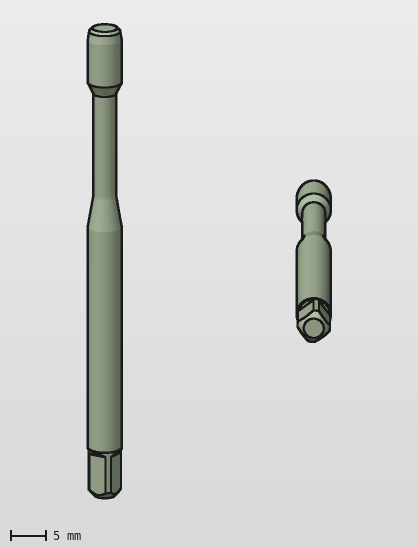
import cadquery as cq

length = 70.2
shank_diameter = 4.9
neck_diameter = 3.3

drive_diameter = 4.7
across_flats = 3.85
flat_top = 6.45
shank_bottom = 7.15
drive_tip_diameter = 2.9
drive_chamfer_height = 1.05

shank_top = 40.3
neck_bottom = 45.0
neck_blend_radius = 2.5

neck_top = 60.4
collar_diameter = 3.65
collar_height = 60.8
head_bottom = 62.05
lead_bottom = 68.4
tip_bottom = 69.7
lead_diameter = 4.5
tip_diameter = 3.6


def turned_body():
    """Revolve the stepped profile about Z, from the drive up to the tip."""
    steps = [
        (drive_tip_diameter, 0),
        (drive_diameter, drive_chamfer_height),
        (drive_diameter, shank_bottom),
        (shank_diameter, shank_bottom),
        (shank_diameter, shank_top),
        (neck_diameter, neck_bottom),
        (neck_diameter, neck_top),
        (collar_diameter, collar_height),
        (shank_diameter, head_bottom),
        (shank_diameter, lead_bottom),
        (lead_diameter, tip_bottom),
        (tip_diameter, length),
    ]
    outline = [(diameter / 2, height) for diameter, height in steps]
    profile = cq.Workplane("XZ").polyline([(0, 0)] + outline + [(0, length)]).close()
    body = profile.revolve(360, (0, 0), (0, 1))
    margin = 0.1
    neck_corner = cq.selectors.BoxSelector(
        (-shank_diameter, -shank_diameter, neck_bottom - margin),
        (shank_diameter, shank_diameter, neck_bottom + margin),
    )
    return body.edges(neck_corner).edges("%CIRCLE").fillet(neck_blend_radius)


def flat_cutter():
    """Cutter for the +X flat, with a 45 degree run-out at its upper end."""
    flat_x = across_flats / 2
    run_out = shank_diameter - flat_x
    return (
        cq.Workplane("XZ")
        .moveTo(flat_x, 0)
        .lineTo(flat_x, flat_top)
        .lineTo(flat_x + run_out, flat_top + run_out)
        .lineTo(flat_x + run_out, 0)
        .close()
        .extrude(shank_diameter / 2, both=True)
    )


result = turned_body()
for angle in (0, 90, 180, 270):
    result = result.cut(flat_cutter().rotate((0, 0, 0), (0, 0, 1), angle))